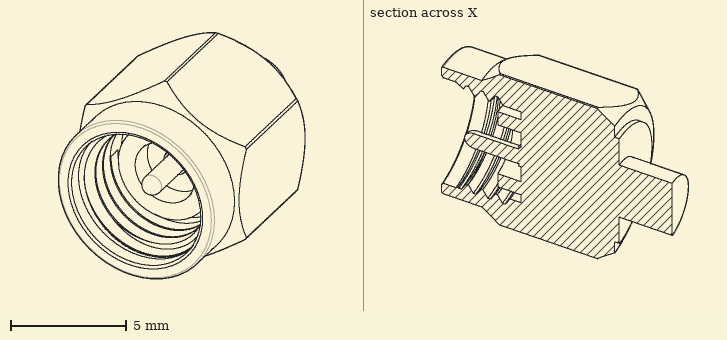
import cadquery as cq
import math


LENGTH = 11.18
ACROSS_FLATS = 7.94
ACROSS_CORNERS = 9.09
HEX_FRONT = 1.96
HEX_REAR = 8.4
HEX_CONE_START_RADIUS = 3.83
HEX_CONE_ANGLE = 40.0
COLLAR_DIAMETER = 7.67
COLLAR_ROUND = 0.1

FLANGE_DIAMETER = 6.35
FLANGE_REAR = 8.62
TUBE_DIAMETER = 3.18

ENTRY_DIAMETER = 6.35
ENTRY_DEPTH = 0.72
ENTRY_CHAMFER_WIDTH = 0.13
ENTRY_CHAMFER_DEPTH = 0.08
CREST_DIAMETER = 5.46
LEAD_IN_LENGTH = 0.58
BORE_DEPTH = 3.85

PITCH = 0.7
FLANK_ANGLE = 30.0
ROOT_DIAMETER = 6.3
CREST_FLAT = 0.09
GROOVE_START = 0.38
THREAD_TURNS = 4.0
GROOVE_OVERCUT = 0.05

SLEEVE_DIAMETER = 4.57
SLEEVE_BORE = 2.92
SLEEVE_FRONT = 2.73
SLEEVE_BORE_DEPTH = 1.12
PIN_DIAMETER = 0.92
PIN_TIP = 1.11
PIN_SHOULDER_DIAMETER = 1.16
PIN_SHOULDER_LENGTH = 0.11

OVERLAP = 0.11


def cylinder(diameter, start, end):
    """Solid cylinder on the Y axis between two places."""
    base = cq.Workplane("XZ", origin=(0, start, 0))
    return base.circle(diameter / 2).extrude(start - end)


def revolve_about_axis(outline):
    """Solid of revolution from (radius, y) points."""
    return cq.Workplane("XY").polyline(outline).close().revolve(360, (0, 0), (0, 1))


def make_hex():
    """Hexagon with flats on +X and -X, coned at both ends to shave its corners."""
    hex_length = HEX_REAR - HEX_FRONT
    corner_circle = ACROSS_FLATS / math.cos(math.pi / 6)
    prism = (
        cq.Workplane("XZ", origin=(0, HEX_FRONT, 0))
        .transformed(rotate=(0, 0, 90))
        .polygon(6, corner_circle)
        .extrude(-hex_length)
    )
    corner_radius = ACROSS_CORNERS / 2
    cone_length = (corner_radius - HEX_CONE_START_RADIUS) / math.tan(math.radians(HEX_CONE_ANGLE))
    envelope = revolve_about_axis([
        (0, HEX_FRONT),
        (HEX_CONE_START_RADIUS, HEX_FRONT),
        (corner_radius, HEX_FRONT + cone_length),
        (corner_radius, HEX_REAR - cone_length),
        (HEX_CONE_START_RADIUS, HEX_REAR),
        (0, HEX_REAR),
    ])
    return prism.intersect(envelope)


def make_body():
    """Outside of the connector, before it is bored."""
    collar = cylinder(COLLAR_DIAMETER, 0, HEX_FRONT + OVERLAP).faces("<Y").edges().fillet(COLLAR_ROUND)
    flange = cylinder(FLANGE_DIAMETER, HEX_REAR - OVERLAP, FLANGE_REAR)
    tube = cylinder(TUBE_DIAMETER, FLANGE_REAR - OVERLAP, LENGTH)
    return make_hex().union(collar).union(flange).union(tube)


def make_bore():
    """Chamfered entry, conical lead-in and the bore at the thread crests."""
    entry_radius = ENTRY_DIAMETER / 2
    crest_radius = CREST_DIAMETER / 2
    return revolve_about_axis([
        (0, 0),
        (entry_radius + ENTRY_CHAMFER_WIDTH, 0),
        (entry_radius, ENTRY_CHAMFER_DEPTH),
        (entry_radius, ENTRY_DEPTH),
        (crest_radius, ENTRY_DEPTH + LEAD_IN_LENGTH),
        (crest_radius, BORE_DEPTH),
        (0, BORE_DEPTH),
    ])


def make_thread_groove():
    """Helical V groove, swept along +Z and then turned onto the Y axis."""
    crest_radius = CREST_DIAMETER / 2
    root_radius = ROOT_DIAMETER / 2
    inner_radius = crest_radius - GROOVE_OVERCUT
    flank_slope = math.tan(math.radians(FLANK_ANGLE))
    crest_half_width = (PITCH - CREST_FLAT) / 2
    root_half_width = crest_half_width - (root_radius - crest_radius) * flank_slope
    inner_half_width = crest_half_width + GROOVE_OVERCUT * flank_slope
    profile = cq.Workplane("XZ").polyline([
        (inner_radius, -inner_half_width),
        (root_radius, -root_half_width),
        (root_radius, root_half_width),
        (inner_radius, inner_half_width),
    ]).close()
    helix = cq.Wire.makeHelix(PITCH, PITCH * THREAD_TURNS, crest_radius)
    groove = profile.sweep(cq.Workplane(helix), isFrenet=True)
    groove = groove.rotate((0, 0, 0), (0, 0, 1), 180)
    return groove.rotate((0, 0, 0), (1, 0, 0), -90).translate((0, GROOVE_START, 0))


def make_contacts():
    """Hollow sleeve around a round-nosed pin that stands on the sleeve floor."""
    floor = SLEEVE_FRONT + SLEEVE_BORE_DEPTH
    root = max(floor, BORE_DEPTH) + OVERLAP
    pin_radius = PIN_DIAMETER / 2
    sleeve = cylinder(SLEEVE_DIAMETER, SLEEVE_FRONT, root)
    sleeve = sleeve.cut(cylinder(SLEEVE_BORE, SLEEVE_FRONT, floor))
    shoulder = cylinder(PIN_SHOULDER_DIAMETER, floor - PIN_SHOULDER_LENGTH, root)
    nose_middle = pin_radius * math.sqrt(0.5)
    pin = (
        cq.Workplane("XY")
        .moveTo(0, PIN_TIP)
        .threePointArc((nose_middle, PIN_TIP + pin_radius - nose_middle), (pin_radius, PIN_TIP + pin_radius))
        .lineTo(pin_radius, root)
        .lineTo(0, root)
        .close()
        .revolve(360, (0, 0), (0, 1))
    )
    return sleeve.union(shoulder).union(pin)


result = make_body().cut(make_bore()).cut(make_thread_groove()).union(make_contacts())